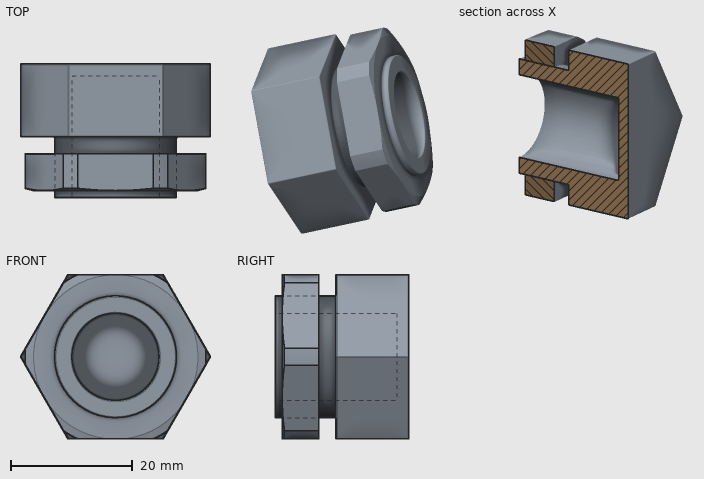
import cadquery as cq
import math

width_over_corners = 31.1
head_length = 12.0
sleeve_diameter = 20.0
sleeve_length = 10.0
bore_diameter = 14.3
floor_thickness = 2.0
edge_radius = 0.2

nut_thickness = 6.0
nut_corner_diameter = 29.7
nut_setback = 1.18
nut_chamfer_angle = 15.0

half_corner_cosine = math.cos(math.radians(30))
across_flats = (width_over_corners - 2 * edge_radius) * half_corner_cosine + 2 * edge_radius

sleeve_end_y = -sleeve_length
nut_front_y = sleeve_end_y + nut_setback
nut_back_y = nut_front_y + nut_thickness


def plane_at(y):
    """Plane across the Y axis whose normal points toward +Y."""
    return cq.Plane(origin=(0, y, 0), xDir=(1, 0, 0), normal=(0, 1, 0))


def hexagon(y, length):
    """Sharp hexagonal bar from y toward +Y, with flats at the top and bottom."""
    across_sharp_corners = across_flats / half_corner_cosine
    return cq.Workplane(plane_at(y)).polygon(6, across_sharp_corners).extrude(length)


def cylinder(y, length, diameter):
    """Round bar from y toward +Y."""
    return cq.Workplane(plane_at(y)).circle(diameter / 2).extrude(length)


def turned(half_outline):
    """Solid of revolution about the Y axis."""
    return half_outline.close().revolve(360, (0, 0, 0), (0, 1, 0))


def make_sleeve():
    """Solid sleeve with a rounded free end and a rounded inside corner at the head."""
    radius = sleeve_diameter / 2
    root_radius = radius + edge_radius
    overlap_y = head_length / 2
    return turned(
        cq.Workplane("XY")
        .moveTo(0, sleeve_end_y)
        .lineTo(radius - edge_radius, sleeve_end_y)
        .radiusArc((radius, sleeve_end_y + edge_radius), -edge_radius)
        .lineTo(radius, -edge_radius)
        .radiusArc((root_radius, 0), edge_radius)
        .lineTo(radius, 0)
        .lineTo(radius, overlap_y)
        .lineTo(0, overlap_y)
    )


def make_bore():
    """Blind bore with a rounded floor corner and a mouth that flares over a rounded rim."""
    radius = bore_diameter / 2
    floor_y = head_length - floor_thickness
    return turned(
        cq.Workplane("XY")
        .moveTo(0, sleeve_end_y)
        .lineTo(radius + edge_radius, sleeve_end_y)
        .radiusArc((radius, sleeve_end_y + edge_radius), edge_radius)
        .lineTo(radius, floor_y - edge_radius)
        .radiusArc((radius - edge_radius, floor_y), -edge_radius)
        .lineTo(0, floor_y)
    )


def make_gland():
    head = hexagon(0, head_length).edges().fillet(edge_radius)
    return head.union(make_sleeve()).cut(make_bore())


def make_lock_nut():
    front_radius = across_flats / 2
    corner_radius = nut_corner_diameter / 2
    chamfer_depth = (corner_radius - front_radius) * math.tan(math.radians(nut_chamfer_angle))
    blank = turned(
        cq.Workplane("XY")
        .moveTo(0, nut_front_y)
        .lineTo(front_radius, nut_front_y)
        .lineTo(corner_radius, nut_front_y + chamfer_depth)
        .lineTo(corner_radius, nut_back_y)
        .lineTo(0, nut_back_y)
    )
    nut = hexagon(nut_front_y, nut_thickness).intersect(blank)
    return nut.cut(cylinder(nut_front_y, nut_thickness, sleeve_diameter))


gland = make_gland()
lock_nut = make_lock_nut()

result = cq.Compound.makeCompound([gland.solids().val(), lock_nut.solids().val()])